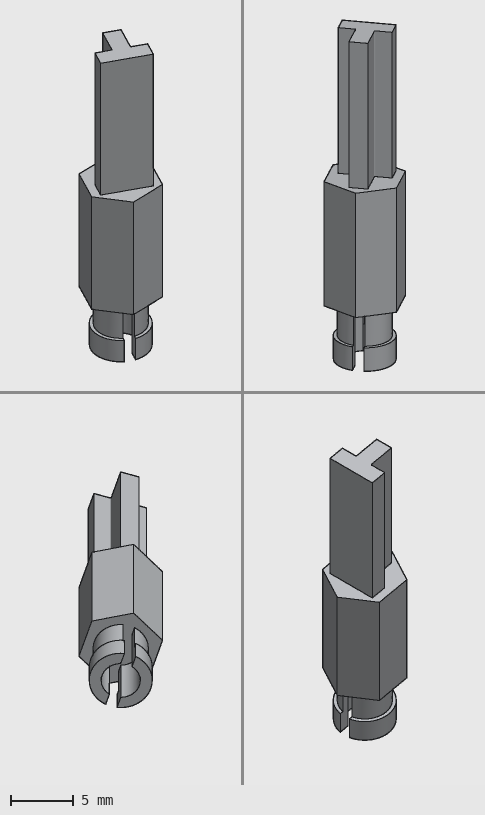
import cadquery as cq

total_height = 28.5
collar_height = 2.05
neck_top = 5.05
hex_top = 15.85

collar_diameter = 5.02
neck_diameter = 4.4
slot_width = 0.95
bore_diameter = 3.1

hex_across_corners = 6.8

key_left = -2.4
key_right = 1.68
flange_width = 4.4
flange_thickness = 1.55
web_thickness = 1.55
inner_corner_radius = 0.09


def make_split_end():
    """Hollow neck and collar, slotted right through along X up to the body."""
    collar = cq.Workplane("XY").circle(collar_diameter / 2).extrude(collar_height)
    neck = cq.Workplane("XY").circle(neck_diameter / 2).extrude(neck_top)
    slot = cq.Workplane("XY").rect(2 * collar_diameter, slot_width).extrude(neck_top)
    bore = cq.Workplane("XY").circle(bore_diameter / 2).extrude(neck_top)
    return collar.union(neck).cut(slot).cut(bore)


def make_body():
    """Hexagonal prism between the neck and the key."""
    return (
        cq.Workplane("XY", origin=(0, 0, neck_top))
        .polygon(6, hex_across_corners)
        .extrude(hex_top - neck_top)
    )


def make_key():
    """T-shaped bar standing on the top of the body."""
    key_height = total_height - hex_top
    key_length = key_right - key_left
    flange = (
        cq.Workplane("XY", origin=(key_right - flange_thickness / 2, 0, hex_top))
        .rect(flange_thickness, flange_width)
        .extrude(key_height)
    )
    web = (
        cq.Workplane("XY", origin=(key_right - key_length / 2, 0, hex_top))
        .rect(key_length, web_thickness)
        .extrude(key_height)
    )
    key = flange.union(web)

    inner_corner_x = key_right - flange_thickness
    inner_corners = cq.selectors.BoxSelector(
        (inner_corner_x - inner_corner_radius, -web_thickness, hex_top),
        (inner_corner_x + inner_corner_radius, web_thickness, total_height),
    )
    return key.edges("|Z").edges(inner_corners).fillet(inner_corner_radius)


result = make_body().union(make_split_end()).union(make_key())